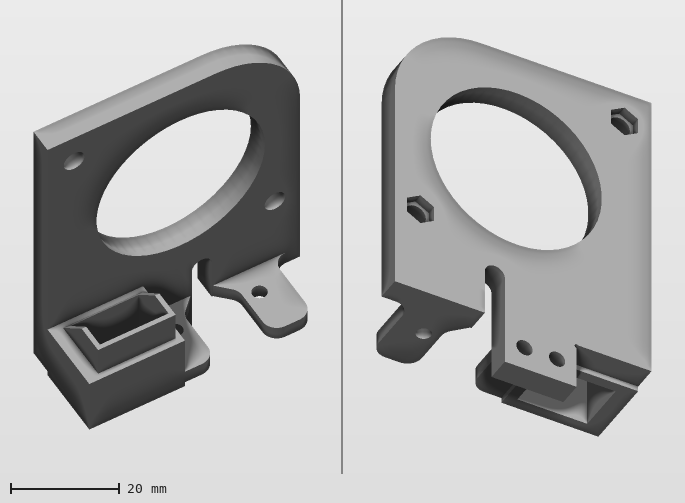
import cadquery as cq
import math

plate_thickness = 5.1
plate_width = 54.0
plate_bottom = 9.95
plate_top = 73.8
plate_corner_radius = 18.0

opening_diameter = 36.0
opening_y = 28.5
opening_z = 46.85
nut_hole_diameter = 4.4
nut_across_flats = 5.7
nut_pocket_depth = 2.0
nut_y = 5.7
nut_z = 67.15
nut_spacing_y = 42.95
nut_spacing_z = 37.9

slot_width = 4.2
slot_center_y = 33.0
slot_top = 21.9
tab_width = 15.1
tab_hole_diameter = 3.4
tab_hole_spacing = 6.9
tab_hole_z = 4.95
relief_diameter = 0.9
relief_z = 9.7

back_x = 20.2
block_width = 20.45
block_bottom = 8.85
block_top = 22.0
sleeve_wall = 0.95
sleeve_front_x = 6.2
sleeve_back_x = 18.9
sleeve_start_y = 2.65
sleeve_end_y = 19.25
sleeve_top = 28.8

ear_thickness = 3.0
ear_end_y = 48.0
ear_gap = 11.7
ear_gusset = 3.5
ear_corner_radius = 3.0
ear_gusset_blend_radius = 3.0
ear_root_radius = 3.0
ear_hole_diameter = 3.0
ear_hole_x = 10.8
ear_hole_spacing = 18.0

tab_end_y = slot_center_y - slot_width / 2
tab_start_y = tab_end_y - tab_width


def box(x_range, y_range, z_range):
    """Axis-aligned box given by its limits along X, Y and Z."""
    (x0, x1), (y0, y1), (z0, z1) = x_range, y_range, z_range
    return cq.Workplane("XY").box(x1 - x0, y1 - y0, z1 - z0, centered=False).translate((x0, y0, z0))


def plate_hole(diameter, points):
    """Cylinders that pass through the plate along X at the given (Y, Z) points."""
    return cq.Workplane("YZ").pushPoints(points).circle(diameter / 2).extrude(plate_thickness)


def make_plate():
    """Plate with one rounded upper corner and a tab below its bottom edge."""
    plate = box((0, plate_thickness), (0, plate_width), (plate_bottom, plate_top))
    plate = plate.edges("|X and >Y and >Z").fillet(plate_corner_radius)
    tab = box((0, plate_thickness), (tab_start_y, tab_end_y), (0, plate_bottom))
    return plate.union(tab)


def cut_plate(plate):
    """Cut the opening, nut holes, slot, tab holes and corner relief."""
    plate = plate.cut(plate_hole(opening_diameter, [(opening_y, opening_z)]))

    nut_points = [(nut_y, nut_z), (nut_y + nut_spacing_y, nut_z - nut_spacing_z)]
    nut_across_corners = nut_across_flats / math.cos(math.pi / 6)
    plate = plate.cut(plate_hole(nut_hole_diameter, nut_points))
    for y, z in nut_points:
        pocket = cq.Workplane("YZ").polygon(6, nut_across_corners).extrude(nut_pocket_depth)
        plate = plate.cut(pocket.rotate((0, 0, 0), (1, 0, 0), 90).translate((0, y, z)))

    slot_round_z = slot_top - slot_width / 2
    slot_sides = (slot_center_y - slot_width / 2, slot_center_y + slot_width / 2)
    plate = plate.cut(box((0, plate_thickness), slot_sides, (plate_bottom, slot_round_z)))
    plate = plate.cut(plate_hole(slot_width, [(slot_center_y, slot_round_z)]))

    tab_middle_y = (tab_start_y + tab_end_y) / 2
    tab_points = [(tab_middle_y + side * tab_hole_spacing / 2, tab_hole_z) for side in (-1, 1)]
    plate = plate.cut(plate_hole(tab_hole_diameter, tab_points))
    return plate.cut(plate_hole(relief_diameter, [(tab_start_y, relief_z)]))


def make_ears():
    """Two flat ears, flush with the plate's bottom edge, with sloped gussets facing the slot."""
    ears = box(
        (plate_thickness, back_x),
        (block_width, ear_end_y),
        (plate_bottom, plate_bottom + ear_thickness),
    )
    gap_start = slot_center_y - ear_gap / 2
    gap_end = slot_center_y + ear_gap / 2
    gap = (
        cq.Workplane("XY", origin=(0, 0, plate_bottom))
        .moveTo(back_x, gap_start)
        .lineTo(plate_thickness + ear_gusset, gap_start)
        .lineTo(plate_thickness, gap_start + ear_gusset)
        .lineTo(plate_thickness, gap_end - ear_gusset)
        .lineTo(plate_thickness + ear_gusset, gap_end)
        .lineTo(back_x, gap_end)
        .close()
        .extrude(ear_thickness)
    )
    gusset_x = plate_thickness + ear_gusset
    margin = ear_gusset / 4
    gap_bends = cq.selectors.BoxSelector(
        (gusset_x - margin, gap_start - margin, plate_bottom),
        (gusset_x + margin, gap_end + margin, plate_bottom + ear_thickness),
    )
    gap = gap.edges("|Z").edges(gap_bends).fillet(ear_gusset_blend_radius)
    ears = ears.cut(gap)

    ears = ears.edges("|Z and >X").edges("not <Y").fillet(ear_corner_radius)

    root_end_x = plate_thickness + ear_root_radius
    root_end_y = ear_end_y + ear_root_radius
    root = box((plate_thickness, root_end_x), (ear_end_y, root_end_y), (0, ear_thickness))
    root = root.cut(
        cq.Workplane("XY").center(root_end_x, root_end_y).circle(ear_root_radius).extrude(ear_thickness)
    )
    ears = ears.union(root.translate((0, 0, plate_bottom)))

    hole_points = [(ear_hole_x, slot_center_y + side * ear_hole_spacing / 2) for side in (-1, 1)]
    holes = (
        cq.Workplane("XY", origin=(0, 0, plate_bottom))
        .pushPoints(hole_points)
        .circle(ear_hole_diameter / 2)
        .extrude(ear_thickness)
    )
    return ears.cut(holes)


def make_sleeve_block():
    """Block and sleeve with a passage through both; the sleeve's front is cut at 45 degrees."""
    block = box((plate_thickness, back_x), (0, block_width), (block_bottom, block_top))
    slope = sleeve_top - block_top
    sleeve = (
        cq.Workplane("XZ", origin=(0, sleeve_start_y, 0))
        .moveTo(sleeve_front_x, block_top)
        .lineTo(sleeve_front_x + slope, sleeve_top)
        .lineTo(sleeve_back_x, sleeve_top)
        .lineTo(sleeve_back_x, block_top)
        .close()
        .extrude(sleeve_start_y - sleeve_end_y)
    )
    passage = box(
        (sleeve_front_x + sleeve_wall, sleeve_back_x - sleeve_wall),
        (sleeve_start_y + sleeve_wall, sleeve_end_y - sleeve_wall),
        (block_bottom, sleeve_top),
    )
    return block.union(sleeve).cut(passage)


result = cut_plate(make_plate()).union(make_ears()).union(make_sleeve_block())